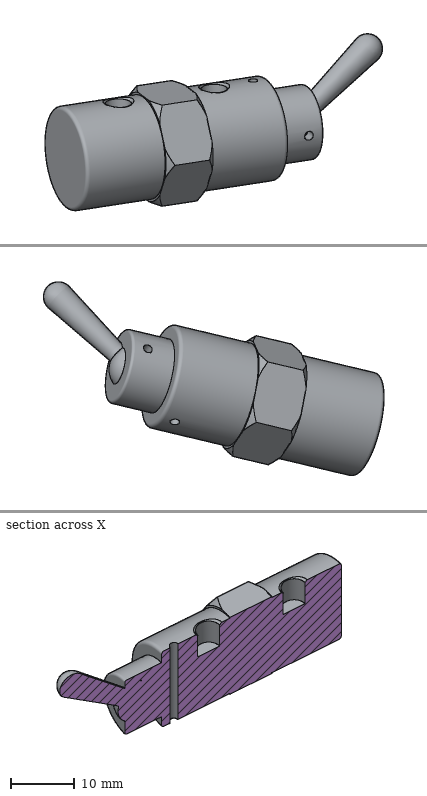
import cadquery as cq
import math

body_diameter = 16.7
body_length = 34.9
body_edge_round = 0.6
neck_diameter = 12.0
neck_length = 7.1
neck_edge_round = 0.45

hex_across_flats = 17.0
hex_start = 13.5
hex_length = 8.15
hex_chamfer_angle = 45
hex_face_diameter = 17.5

port_diameter = 4.15
port_depth = 5.0
port_positions = (9.2, 25.7)
port_mouth_diameter = 4.95
small_hole_diameter = 1.5
vent_position = 32.45
pivot_position = 39.45

pivot_ball_diameter = 7.8
lever_angle = 40
lever_length = 16.7
lever_root_offset = 4.15
lever_root_diameter = 3.3
lever_tip_diameter = 4.75


def cylinder_along_y(diameter, start, length):
    plane = cq.Plane(origin=(0, start, 0), xDir=(1, 0, 0), normal=(0, 1, 0))
    return cq.Workplane(plane).circle(diameter / 2).extrude(length)


def make_hex_collar():
    across_corners = hex_across_flats / math.cos(math.radians(30))
    plane = cq.Plane(origin=(0, hex_start, 0), xDir=(1, 0, 0), normal=(0, 1, 0))
    prism = cq.Workplane(plane).polygon(6, across_corners).extrude(hex_length)
    corner_radius = across_corners / 2
    face_radius = hex_face_diameter / 2
    cone_length = (corner_radius - face_radius) * math.tan(math.radians(hex_chamfer_angle))
    hex_end = hex_start + hex_length
    disc = (
        cq.Workplane("XY")
        .moveTo(0, hex_start)
        .lineTo(face_radius, hex_start)
        .lineTo(corner_radius, hex_start + cone_length)
        .lineTo(corner_radius, hex_end - cone_length)
        .lineTo(face_radius, hex_end)
        .lineTo(0, hex_end)
        .close()
        .revolve(360, (0, 0, 0), (0, 1, 0))
    )
    return prism.intersect(disc)


def make_port(position):
    """Flat-bottomed port cutter entering from the top of the body."""
    body_top = body_diameter / 2
    floor = body_top - port_depth
    bore = (
        cq.Workplane("XY", origin=(0, position, floor))
        .circle(port_diameter / 2)
        .extrude(port_depth)
    )
    countersink_depth = (port_mouth_diameter - port_diameter) / 2
    countersink = cq.Workplane(
        cq.Solid.makeCone(
            port_diameter / 2,
            port_mouth_diameter / 2,
            countersink_depth,
            pnt=cq.Vector(0, position, body_top - countersink_depth),
        )
    )
    return bore.union(countersink)


def make_lever():
    """Tapered lever with a ball tip, tilted upward about the pivot."""
    tip_radius = lever_tip_diameter / 2
    root_radius = lever_root_diameter / 2
    taper = math.asin((tip_radius - root_radius) / (lever_length - lever_root_offset))
    seam_radius = tip_radius * math.cos(taper)
    seam_position = lever_length - tip_radius * math.sin(taper)
    diagonal = math.sqrt(0.5)
    lever = (
        cq.Workplane("XY")
        .lineTo(root_radius, 0)
        .lineTo(root_radius, lever_root_offset)
        .lineTo(seam_radius, seam_position)
        .threePointArc(
            (tip_radius * diagonal, lever_length + tip_radius * diagonal),
            (0, lever_length + tip_radius),
        )
        .close()
        .revolve(360, (0, 0, 0), (0, 1, 0))
    )
    return lever.rotate((0, 0, 0), (1, 0, 0), lever_angle).translate((0, pivot_position, 0))


body = cylinder_along_y(body_diameter, 0, body_length).edges().fillet(body_edge_round)
neck = cylinder_along_y(neck_diameter, body_length - body_edge_round, neck_length + body_edge_round)
neck = neck.faces(">Y").edges().fillet(neck_edge_round)
pivot_ball = cq.Workplane("XY").sphere(pivot_ball_diameter / 2).translate((0, pivot_position, 0))

result = body.union(neck).union(make_hex_collar()).union(pivot_ball).union(make_lever())

for port_position in port_positions:
    result = result.cut(make_port(port_position))

vent = cq.Workplane("XY", origin=(0, vent_position, 0)).circle(small_hole_diameter / 2)
result = result.cut(vent.extrude(body_diameter, both=True))

pin_hole_depth = (neck_diameter - pivot_ball_diameter) / 2
for side in (-1, 1):
    pin_plane = cq.Plane(origin=(side * neck_diameter / 2, pivot_position, 0), normal=(-side, 0, 0))
    pin_hole = cq.Workplane(pin_plane).circle(small_hole_diameter / 2).extrude(pin_hole_depth)
    result = result.cut(pin_hole)